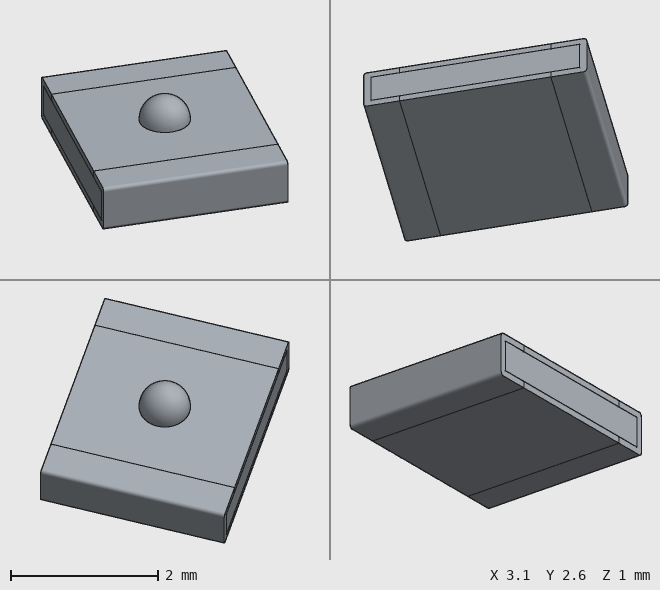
import cadquery as cq

length = 3.1
width = 2.6
height = 0.65

wall = 0.1
terminal_length = 0.5
edge_radius = 0.05
dome_radius = 0.35

core_length = length - 2 * wall
core_height = height - 2 * wall
cover_length = length - 2 * terminal_length
cover_offset = (core_height + wall) / 2


def make_core():
    """Flat block at the centre of the chip, open at both Y ends."""
    return cq.Workplane("XY").box(core_length, width, core_height)


def make_terminal(side):
    """C-shaped end cap wrapped around the core; side is -1 or +1 along X."""
    centre_x = side * (length - terminal_length) / 2
    outer_face = ">X" if side > 0 else "<X"
    block = (
        cq.Workplane("XY")
        .box(terminal_length, width, height)
        .faces(outer_face)
        .edges("|Y")
        .fillet(edge_radius)
        .translate((centre_x, 0, 0))
    )
    return block.cut(make_core())


def make_cover_layer(side):
    """Plate filling the gap between the terminals; side is -1 or +1 along Z."""
    return (
        cq.Workplane("XY")
        .box(cover_length, width, wall)
        .translate((0, 0, side * cover_offset))
    )


def make_domed_cover():
    """Upper cover layer with a hemispherical dome at its centre."""
    hemisphere = (
        cq.Workplane("XY")
        .sphere(dome_radius, angle1=0, angle2=90)
        .translate((0, 0, height / 2))
    )
    return make_cover_layer(1).union(hemisphere)


core = make_core()
terminals = [make_terminal(side) for side in (-1, 1)]
domed_cover = make_domed_cover()
bottom_cover = make_cover_layer(-1)

result = cq.Compound.makeCompound([
    core.val(),
    *[terminal.solids().val() for terminal in terminals],
    domed_cover.solids().val(),
    bottom_cover.val(),
])